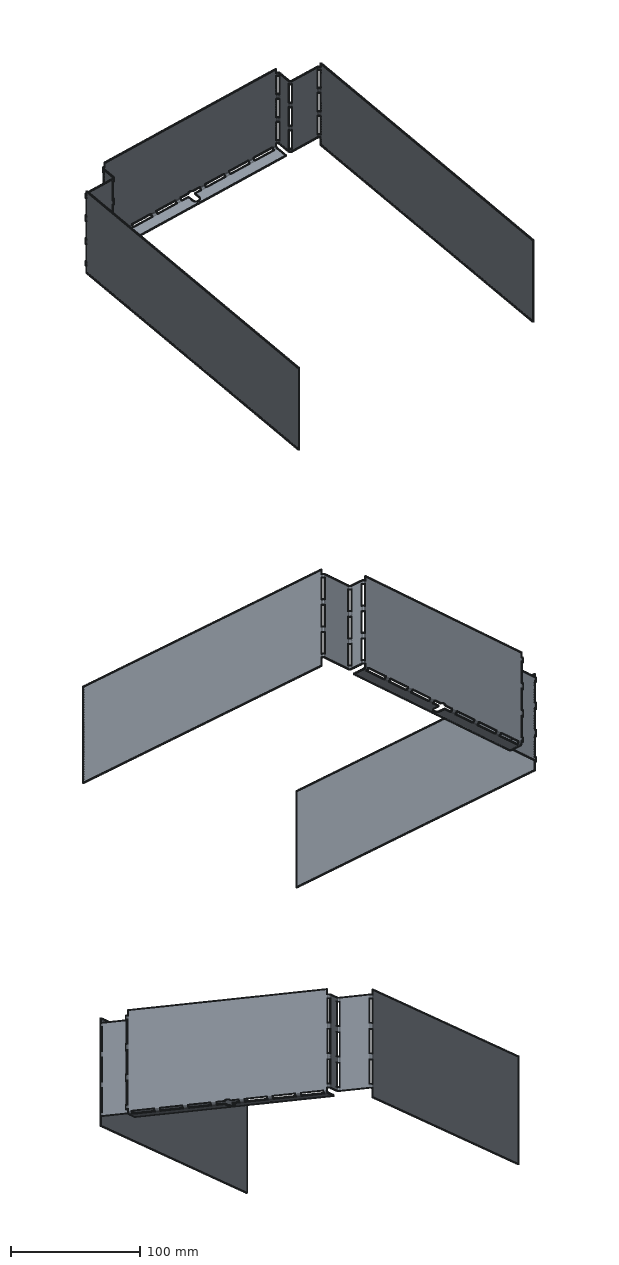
import cadquery as cq

LENGTH = 278.5
WIDTH = 234.3
HEIGHT = 85.5

THICKNESS = 0.8
BEND_INNER_RADIUS = 1.0
BEND_OUTER_RADIUS = BEND_INNER_RADIUS + THICKNESS

STEP_DEPTH = 14.8
FRONT_WIDTH = 176.0
SIDE_OUTER_Y = WIDTH / 2
LEG_OUTER_Y = FRONT_WIDTH / 2

STEP_BOTTOM = 7.2
STEP_HEIGHT = 74.0
STEP_TOP = STEP_BOTTOM + STEP_HEIGHT
FRONT_EDGE_GAP = 2.5
SIDE_EDGE_GAP = 2.2
FRONT_EDGE_Y = LEG_OUTER_Y - FRONT_EDGE_GAP
SIDE_EDGE_X = STEP_DEPTH + SIDE_EDGE_GAP

LIP_BOTTOM = 3.0
LIP_BEND_TOP = LIP_BOTTOM + BEND_OUTER_RADIUS
LIP_DEPTH = 12.8

SLOT_LENGTH = 19.2
SLOT_PITCH = 24.2
SLOT_REACH = 1.5
SLOT_SPAN = THICKNESS + SLOT_REACH
STEP_SLOT_COUNT = 3
LIP_SLOT_COUNT = 7

NOTCH_WIDTH = 6.5
NOTCH_DEPTH = 10.5
NOTCH_TOP = 6.5
NOTCH_RADIUS = NOTCH_WIDTH / 2


def box(x_min, x_max, y_min, y_max, z_min, z_max):
    """Axis-aligned block between the given limits."""
    size = (x_max - x_min, y_max - y_min, z_max - z_min)
    return cq.Workplane("XY").box(*size, centered=False).translate((x_min, y_min, z_min))


def slot_centers(count, middle):
    """Evenly pitched slot positions about the middle of a bend."""
    return [middle + (i - (count - 1) / 2) * SLOT_PITCH for i in range(count)]


def folded_strip():
    """Full-height half of the frame on the +Y side, folded from one strip."""
    outline = [
        (0, 0),
        (0, LEG_OUTER_Y),
        (STEP_DEPTH, LEG_OUTER_Y),
        (STEP_DEPTH, SIDE_OUTER_Y),
        (LENGTH, SIDE_OUTER_Y),
        (LENGTH, SIDE_OUTER_Y - THICKNESS),
        (STEP_DEPTH + THICKNESS, SIDE_OUTER_Y - THICKNESS),
        (STEP_DEPTH + THICKNESS, LEG_OUTER_Y - THICKNESS),
        (THICKNESS, LEG_OUTER_Y - THICKNESS),
        (THICKNESS, 0),
    ]
    strip = cq.Workplane("XY").polyline(outline).close().extrude(HEIGHT)
    outer_corners = [
        (0, LEG_OUTER_Y),
        (STEP_DEPTH + THICKNESS, LEG_OUTER_Y - THICKNESS),
        (STEP_DEPTH, SIDE_OUTER_Y),
    ]
    inner_corners = [
        (THICKNESS, LEG_OUTER_Y - THICKNESS),
        (STEP_DEPTH, LEG_OUTER_Y),
        (STEP_DEPTH + THICKNESS, SIDE_OUTER_Y - THICKNESS),
    ]
    for corners, radius in ((outer_corners, BEND_OUTER_RADIUS), (inner_corners, BEND_INNER_RADIUS)):
        for x, y in corners:
            strip = strip.edges(cq.selectors.NearestToPointSelector((x, y, HEIGHT / 2))).fillet(radius)
    return strip


def step_relief(z_min, z_max):
    """Material removed above or below the leg, the flange and their bends."""
    return box(0, SIDE_EDGE_X, FRONT_EDGE_Y, SIDE_OUTER_Y, z_min, z_max)


def step_slots():
    """Vertical slots along the three bends of the step."""
    bends = [
        (0, SLOT_SPAN, LEG_OUTER_Y - SLOT_SPAN, LEG_OUTER_Y),
        (STEP_DEPTH - SLOT_REACH, STEP_DEPTH + THICKNESS, LEG_OUTER_Y - THICKNESS, LEG_OUTER_Y + SLOT_REACH),
        (STEP_DEPTH, STEP_DEPTH + SLOT_SPAN, SIDE_OUTER_Y - SLOT_SPAN, SIDE_OUTER_Y),
    ]
    slots = cq.Workplane("XY")
    for z in slot_centers(STEP_SLOT_COUNT, STEP_BOTTOM + STEP_HEIGHT / 2):
        for bend in bends:
            slots = slots.add(box(*bend, z - SLOT_LENGTH / 2, z + SLOT_LENGTH / 2))
    return slots.combine()


def lip():
    """Bottom lip with its bend, reaching up to the top of the bend."""
    outline = (
        cq.Workplane("XZ", origin=(0, FRONT_EDGE_Y, 0))
        .moveTo(0, LIP_BEND_TOP)
        .radiusArc((BEND_OUTER_RADIUS, LIP_BOTTOM), -BEND_OUTER_RADIUS)
        .lineTo(LIP_DEPTH, LIP_BOTTOM)
        .lineTo(LIP_DEPTH, LIP_BOTTOM + THICKNESS)
        .lineTo(BEND_OUTER_RADIUS, LIP_BOTTOM + THICKNESS)
        .radiusArc((THICKNESS, LIP_BEND_TOP), BEND_INNER_RADIUS)
        .close()
    )
    return outline.extrude(2 * FRONT_EDGE_Y)


def lip_slots():
    """Slots along the bend between the front plate and the lip."""
    slots = cq.Workplane("XY")
    for y in slot_centers(LIP_SLOT_COUNT, 0):
        slots = slots.add(
            box(0, SLOT_SPAN, y - SLOT_LENGTH / 2, y + SLOT_LENGTH / 2, LIP_BOTTOM, LIP_BOTTOM + SLOT_SPAN)
        )
    return slots.combine()


def lip_notch():
    """Notch across the lip bend, ending round in the lip and in the front plate."""
    straight_end = NOTCH_DEPTH - NOTCH_RADIUS
    in_lip = (
        cq.Workplane("XY")
        .moveTo(0, -NOTCH_RADIUS)
        .lineTo(straight_end, -NOTCH_RADIUS)
        .threePointArc((NOTCH_DEPTH, 0), (straight_end, NOTCH_RADIUS))
        .lineTo(0, NOTCH_RADIUS)
        .close()
        .extrude(LIP_BOTTOM + THICKNESS)
    )
    in_front_plate = (
        cq.Workplane("YZ")
        .center(0, NOTCH_TOP - NOTCH_RADIUS)
        .circle(NOTCH_RADIUS)
        .extrude(THICKNESS)
    )
    return in_lip.union(in_front_plate)


half_frame = folded_strip()
half_frame = half_frame.cut(step_relief(0, STEP_BOTTOM))
half_frame = half_frame.cut(step_relief(STEP_TOP, HEIGHT))
half_frame = half_frame.cut(box(0, THICKNESS, 0, FRONT_EDGE_Y, 0, LIP_BEND_TOP))
half_frame = half_frame.cut(step_slots())

frame = half_frame.union(half_frame.mirror("XZ"))
result = frame.union(lip()).cut(lip_slots()).cut(lip_notch())